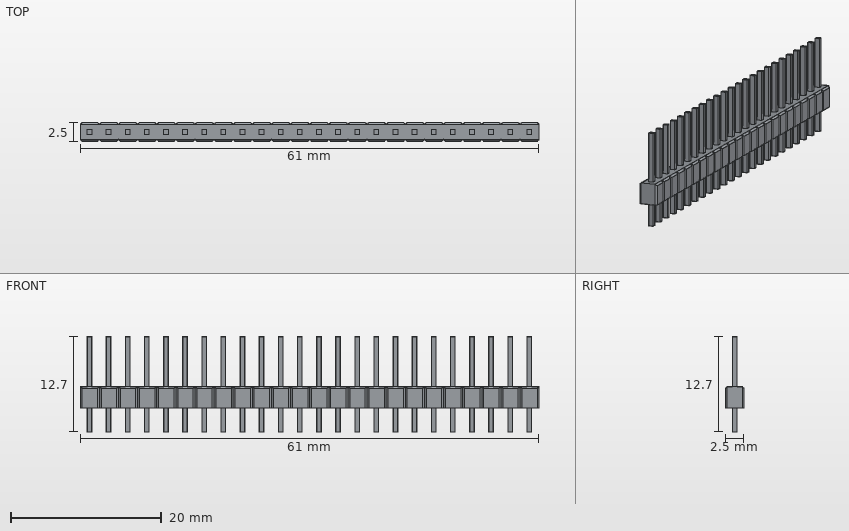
import cadquery as cq

strip_length = 60.95
body_depth = 2.5
body_height = 2.85
corner_chamfer = 0.25
top_bevel_drop = 0.25

pin_count = 24
pin_half_width = 0.32
pin_length = 12.7
pin_below_body = 3.2
pin_shift = -0.05

pitch = strip_length / pin_count
half_depth = body_depth / 2
pin_bottom = -pin_length / 2
body_bottom = pin_bottom + pin_below_body
bevel_bottom = body_height - top_bevel_drop
top_half_depth = half_depth - corner_chamfer
cell_centres = [((i - (pin_count - 1) / 2) * pitch, 0) for i in range(pin_count)]


def make_cell():
    """One housing cell: a block with bevelled corners and bevelled long top edges."""
    block = (
        cq.Workplane("XY")
        .box(pitch, body_depth, body_height, centered=(True, True, False))
        .edges("|Z")
        .chamfer(corner_chamfer)
    )
    envelope = (
        cq.Workplane("YZ")
        .moveTo(-half_depth, 0)
        .lineTo(half_depth, 0)
        .lineTo(half_depth, bevel_bottom)
        .lineTo(top_half_depth, body_height)
        .lineTo(-top_half_depth, body_height)
        .lineTo(-half_depth, bevel_bottom)
        .close()
        .extrude(pitch / 2, both=True)
    )
    return block.intersect(envelope).translate((0, 0, body_bottom)).val()


def make_body():
    """Row of cells joined end to end, leaving a V groove at every joint."""
    cell = make_cell()
    return cq.Workplane("XY").pushPoints(cell_centres).eachpoint(lambda place: cell.moved(place), combine=True)


def make_pins():
    """Square pins running through every cell and out of both faces."""
    pin_side = 2 * pin_half_width
    return (
        cq.Workplane("XY", origin=(pin_shift, 0, pin_bottom))
        .pushPoints(cell_centres)
        .rect(pin_side, pin_side)
        .extrude(pin_length)
    )


result = make_body().union(make_pins()).clean()